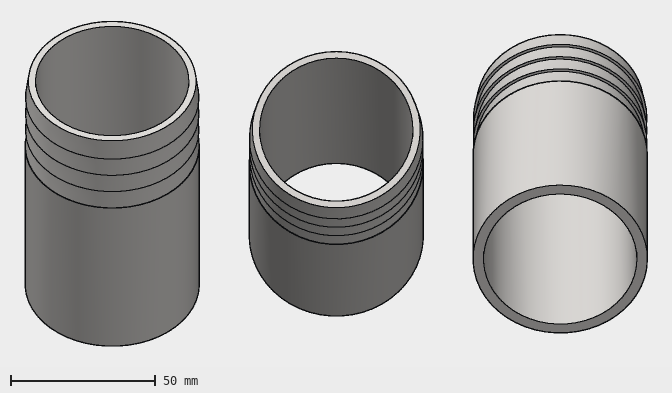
import cadquery as cq

length = 100.0
outer_diameter = 60.3
bore_diameter = 53.0

barb_count = 4
barb_height = 8.0
barb_base_diameter = 60.0
barb_tip_diameter = 58.0

body_length = length - barb_count * barb_height


def plain_body():
    """Cylindrical lower length of the nipple."""
    return cq.Workplane("XY").circle(outer_diameter / 2).extrude(body_length)


def barb(base_height):
    """One conical barb, narrowing towards the hose end."""
    base_radius = barb_base_diameter / 2
    tip_radius = barb_tip_diameter / 2
    cone = cq.Solid.makeCone(base_radius, tip_radius, barb_height, cq.Vector(0, 0, base_height))
    return cq.Workplane(obj=cone)


nipple = plain_body()
for index in range(barb_count):
    nipple = nipple.union(barb(body_length + index * barb_height))

bore = cq.Workplane("XY").circle(bore_diameter / 2).extrude(length)
result = nipple.cut(bore)